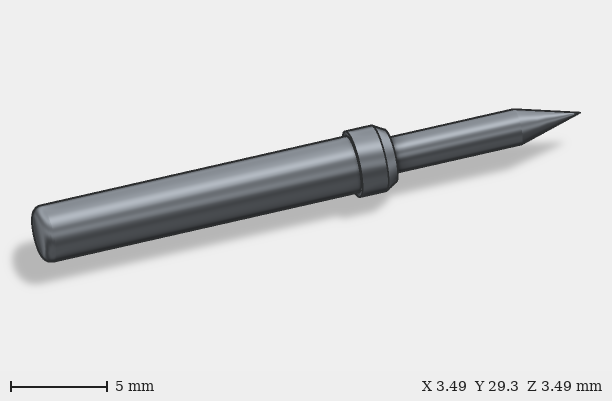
import cadquery as cq

total_length = 29.3
tip_length = 3.4
shank_radius = 0.95
collar_start = 10.28
collar_end = 12.3
collar_radius = 1.743
collar_bevel_length = 0.62
collar_bevel_depth = 0.35
body_radius = 1.5
end_round = 0.5

shank_top = total_length - tip_length
collar_top = total_length - collar_start
collar_bottom = total_length - collar_end


def turned_pin():
    """Revolve the half profile, drawn as (radius, Y), about the Y axis."""
    half_profile = (
        cq.Workplane("XY")
        .moveTo(0, 0)
        .lineTo(body_radius - end_round, 0)
        .radiusArc((body_radius, end_round), -end_round)
        .lineTo(body_radius, collar_bottom)
        .lineTo(collar_radius, collar_bottom)
        .lineTo(collar_radius, collar_top - collar_bevel_length)
        .lineTo(collar_radius - collar_bevel_depth, collar_top)
        .lineTo(shank_radius, collar_top)
        .lineTo(shank_radius, shank_top)
        .lineTo(0, total_length)
        .close()
    )
    return half_profile.revolve(360, (0, 0, 0), (0, 1, 0))


result = turned_pin()